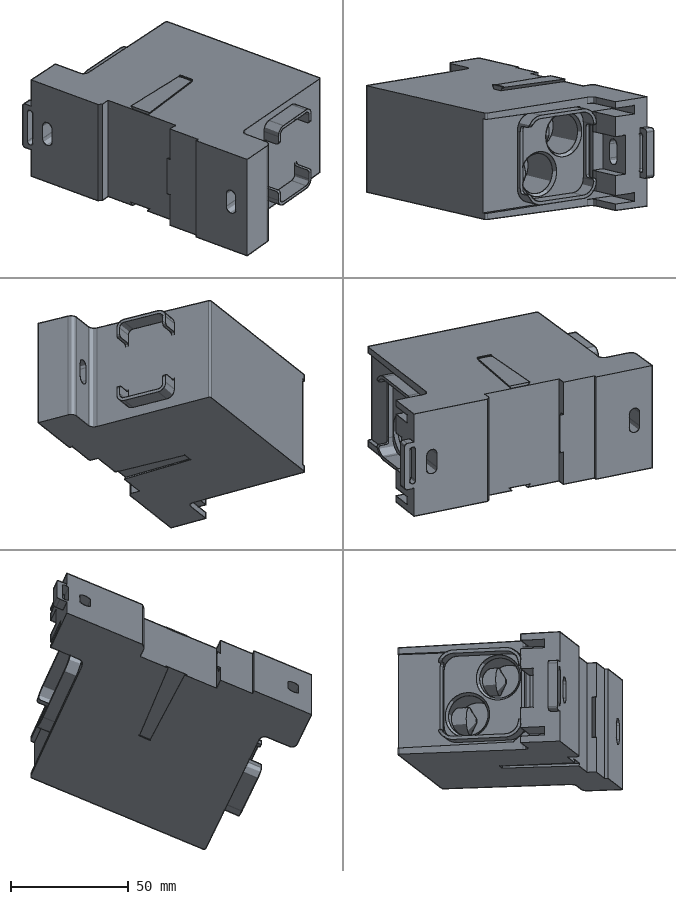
import cadquery as cq
import math


total_length = 118.2
length_y = 74.8
base_width = 47.3
foot_half = 56.9
foot_height = 17.1
housing_half = 41.1
draft = 0.5
slope = math.tan(math.radians(draft))
root_fillet = 2.7
foot_fillet = 2.6
back_fillet = 1.0

rail_left = -20.3
rail_right = 15.1
rail_depth = 5.4
rail_chamfer = 1.4
step_depth = 1.4
step_end = 30.0
hook_reach = 1.5
hook_rise = 2.0
hook_width = 17.4
screw_slot_x = 48.4
screw_slot_length = 11.1
screw_slot_width = 5.0

tab_end = total_length - foot_half
tab_height = 4.0
tab_width = 21.4
tab_fillet = 1.3
tab_slot_x = 57.5
tab_slot_width = 2.7
tab_slot_length = 16.9

recess_depth = 2.0
recess_back_half = 20.3
recess_front_half = 20.0
recess_bevel_y = 24.2
recess_end_y = 16.8
recess_end_half = 13.8
clip_slot_inner = 17.0
clip_slot_outer = 20.7
clip_slot_bottom = 6.6
clip_slot_top = 20.1
window_half = 8.4
window_bottom = 11.6
frame_y = 37.7
frame_z = 0.6
frame_length = 37.1
frame_width = 38.7
frame_wall = 1.4
frame_radius = 7.2
frame_reach = 5.2
lip_curve = 1.2
back_notch_half = 14.7
front_notch_half = 11.6
cable_hole_diameter = 17.3
lead_in_width = 1.1
lead_in_depth = 1.5
cable_hole_depth = 18.2
screw_radius = 5.9
screw_tip_length = 3.1
screw_tip_radius = 0.8
screw_end = 65.0
terminals = [(31.1, 8.5, 9.0, 33.9), (44.7, -7.1, -7.5, 46.8)]

small_frame_y = 45.5
small_frame_length = 23.8
small_frame_reach = 7.6
small_frame_radius = 3.7
small_notch_half = 11.6

dovetail_x = -3.5
dovetail_end = 38.7
dovetail_wide = 9.8
dovetail_narrow = 6.6
dovetail_undercut = 1.12
rib_top = 24.8
rib_lip_height = 0.4
rib_lip_length = 0.7
rib_lip_inset = 0.1
rib_setback = 0.2
rib_root = 0.6
groove_depth = 1.4

clearance = 1.2


def box(x0, x1, y0, y1, z0, z1):
    size = (x1 - x0, y1 - y0, z1 - z0)
    return cq.Workplane("XY").box(*size, centered=False).translate((x0, y0, z0))


def make_housing():
    foot_top = foot_half - slope * foot_height
    back_half = housing_half - slope * (length_y - foot_height)
    outline = [
        (-foot_half, 0),
        (-foot_top, foot_height),
        (-housing_half, foot_height),
        (-back_half, length_y),
        (back_half, length_y),
        (housing_half, foot_height),
        (foot_top, foot_height),
        (foot_half, 0),
        (step_end, 0),
        (step_end, step_depth),
        (rail_right, step_depth),
        (rail_right, rail_depth),
        (rail_left, rail_depth),
        (rail_left, rail_chamfer),
        (rail_left - rail_chamfer, 0),
    ]
    body = cq.Workplane("XY").polyline(outline).close().extrude(base_width / 2, both=True)

    def upright_edge(x, y):
        return body.edges(cq.selectors.NearestToPointSelector((x, y, 0)))

    for side in (-1, 1):
        body = upright_edge(side * housing_half, foot_height).fillet(root_fillet)
        body = upright_edge(side * back_half, length_y).fillet(back_fillet)
    body = upright_edge(foot_top, foot_height).fillet(foot_fillet)

    front_z = base_width / 2
    back_z = front_z - slope * length_y
    drafted_sides = (
        cq.Workplane("YZ")
        .polyline([(0, -front_z), (length_y, -back_z), (length_y, back_z), (0, front_z)])
        .close()
        .extrude(foot_half, both=True)
    )
    return body.intersect(drafted_sides)


def make_hook():
    corners = [
        (rail_right, step_depth),
        (rail_right - hook_reach, step_depth),
        (rail_right, step_depth + hook_rise),
    ]
    return cq.Workplane("XY").polyline(corners).close().extrude(hook_width / 2, both=True)


def upright_slot(x, length, width, height):
    return cq.Workplane("XZ").center(x, 0).slot2D(length, width, 90).extrude(-height)


def make_tab():
    tab = box(-tab_end, -foot_half + clearance, 0, tab_height, -tab_width / 2, tab_width / 2)
    return tab.edges("|Y and <X").fillet(tab_fillet)


def make_dovetail(start_y, narrow_z, wide_z):
    """Dovetail bar along Y whose width tapers towards its far end."""

    def section(y, width):
        foot = width / 2 - dovetail_undercut
        points = [(-foot, narrow_z), (foot, narrow_z), (width / 2, wide_z), (-width / 2, wide_z)]
        return cq.Wire.makePolygon([cq.Vector(dovetail_x + x, y, z) for x, z in points], close=True)

    wires = [section(start_y, dovetail_wide), section(dovetail_end, dovetail_narrow)]
    return cq.Workplane(obj=cq.Solid.makeLoft(wires, True))


def make_rib():
    lip_half = dovetail_narrow / 2 - rib_lip_inset
    lip = box(dovetail_x - lip_half, dovetail_x + lip_half, dovetail_end - rib_lip_length, dovetail_end,
              rib_top - rib_lip_height, rib_top + rib_lip_height)
    return make_dovetail(rail_depth + rib_setback, base_width / 2 - rib_root, rib_top).union(lip)


def on_left_wall(shape):
    leaning = shape.rotate((0, 0, 0), (0, 0, 1), -draft)
    return leaning.translate((-housing_half - slope * foot_height, 0, 0))


def wall_recess():
    half_outline = [
        (length_y + clearance, recess_back_half),
        (recess_bevel_y, recess_front_half),
        (recess_end_y, recess_end_half),
    ]
    mirrored = [(y, -z) for y, z in reversed(half_outline)]
    return cq.Workplane("YZ").polyline(half_outline + mirrored).close().extrude(recess_depth)


def foot_openings():
    """Window, two clip slots and a cleared root fillet, all outside the wall plane."""
    window = box(-foot_half, 0, window_bottom, foot_height, -window_half, window_half)
    clear_root = box(-foot_half, 0, foot_height, clip_slot_top, -clip_slot_outer, clip_slot_outer)
    openings = window.union(clear_root)
    for z0 in (clip_slot_inner, -clip_slot_outer):
        z1 = z0 + clip_slot_outer - clip_slot_inner
        openings = openings.union(box(-foot_half, 0, clip_slot_bottom, foot_height, z0, z1))
    return openings


def make_frame(length, reach, radius, y, back_half, front_half):
    """Rounded rectangular frame rooted recess_depth below the wall, notched towards +Y and -Y."""

    def prism(offset):
        block = (
            cq.Workplane("YZ", origin=(-reach, y, frame_z))
            .rect(length - 2 * offset, frame_width - 2 * offset)
            .extrude(reach + recess_depth)
        )
        return block.edges("|X").fillet(radius - offset)

    wall_centre = (length - frame_wall) / 2
    frame = prism(0).cut(prism(frame_wall))
    frame = frame.cut(frame_notch(y + wall_centre, reach, back_half))
    return frame.cut(frame_notch(y - wall_centre, reach, front_half))


def frame_notch(y, reach, half):
    """Notch down to the wall plane, with S-shaped ends, through one frame wall centred on y."""
    face = -reach
    r = lip_curve
    span = frame_wall + 2 * clearance
    return (
        cq.Workplane("XZ", origin=(0, y + span / 2, frame_z))
        .moveTo(face, -half - r)
        .radiusArc((face + r, -half), r)
        .lineTo(-r, -half)
        .radiusArc((0, -half + r), -r)
        .lineTo(0, half - r)
        .radiusArc((-r, half), -r)
        .lineTo(face + r, half)
        .radiusArc((face, half + r), r)
        .close()
        .extrude(span)
    )


def cable_hole(y, z):
    radius = cable_hole_diameter / 2
    floor = recess_depth
    profile = [
        (floor, 0),
        (floor, radius + lead_in_width),
        (floor + lead_in_depth, radius),
        (floor + cable_hole_depth, radius),
        (floor + cable_hole_depth, 0),
    ]
    hole = cq.Workplane("XY").polyline(profile).close().revolve(360, (0, 0), (1, 0))
    return hole.translate((0, y, z))


def clamp_screw(z, tip_start):
    """Screw with a conical tip, entering the cable hole from the +Y side along its floor."""
    profile = [
        (0, tip_start - screw_tip_length),
        (screw_tip_radius, tip_start - screw_tip_length),
        (screw_radius, tip_start),
        (screw_radius, screw_end),
        (0, screw_end),
    ]
    screw = cq.Workplane("XY").polyline(profile).close().revolve(360, (0, 0), (0, 1))
    return screw.translate((recess_depth + cable_hole_depth - screw_radius, 0, z))


result = make_housing()
result = result.union(make_hook()).union(make_tab()).union(make_rib())
groove_ceiling = -base_width / 2 + groove_depth
result = result.cut(make_dovetail(rail_depth, -base_width / 2, groove_ceiling))

for side in (-1, 1):
    slot = upright_slot(side * screw_slot_x, screw_slot_length, screw_slot_width, foot_height + clearance)
    result = result.cut(slot)
result = result.cut(upright_slot(-tab_slot_x, tab_slot_length, tab_slot_width, tab_height))

result = result.cut(on_left_wall(wall_recess())).cut(on_left_wall(foot_openings()))

frame = make_frame(frame_length, frame_reach, frame_radius, frame_y, back_notch_half, front_notch_half)
result = result.union(on_left_wall(frame))
small_frame = make_frame(small_frame_length, small_frame_reach, small_frame_radius, small_frame_y,
                         small_notch_half, small_notch_half)
result = result.union(on_left_wall(small_frame).mirror("YZ"))

for hole_y, hole_z, screw_z, tip_start in terminals:
    result = result.cut(on_left_wall(cable_hole(hole_y, hole_z)))
    result = result.union(on_left_wall(clamp_screw(screw_z, tip_start)))